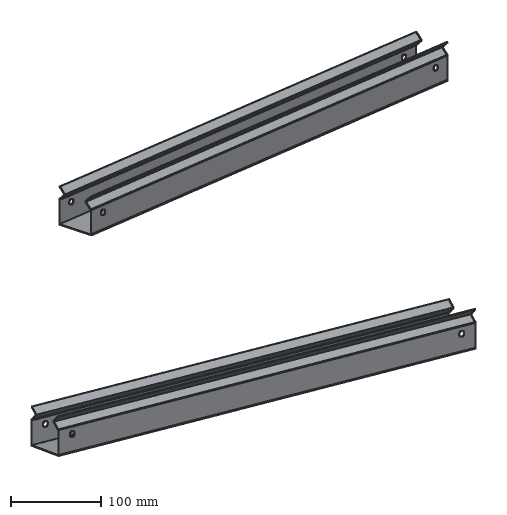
import cadquery as cq
import math

LENGTH = 600.0
WIDTH = 47.74
HEIGHT = 46.25

SHEET = 1.0
WALL_HEIGHT = 31.0

LEG_ANGLE = 45.0
THROAT_WIDTH = 29.7
TIP_SPAN = 45.2
THROAT_RADIUS = 1.0

HOLE_DIAMETER = 7.0
HOLE_END_DISTANCE = 20.0
HOLE_HEIGHT = 21.4

half_width = WIDTH / 2
leg_angle = math.radians(LEG_ANGLE)
slope = math.tan(leg_angle)

throat_setback = THROAT_RADIUS * (1 / math.sin(leg_angle) - 1)
throat_inner_x = THROAT_WIDTH / 2 - throat_setback
throat_outer_x = throat_inner_x + SHEET / math.sin(leg_angle)
tip_inner_x = TIP_SPAN / 2
throat_height = HEIGHT - (tip_inner_x - throat_inner_x) * slope

tip_outer_x = tip_inner_x + SHEET * math.sin(leg_angle)
tip_outer_height = HEIGHT - SHEET * math.cos(leg_angle)

leg_foot_x = throat_outer_x + (throat_height - WALL_HEIGHT) / slope
wall_inner_x = half_width - SHEET
wall_inner_height = throat_height - (wall_inner_x - throat_inner_x) * slope


def side_points(side):
    """Corners of one side of the section, from the bottom outside to the top of the floor."""
    points = [
        (half_width, 0),
        (half_width, WALL_HEIGHT),
        (leg_foot_x, WALL_HEIGHT),
        (throat_outer_x, throat_height),
        (tip_outer_x, tip_outer_height),
        (tip_inner_x, HEIGHT),
        (throat_inner_x, throat_height),
        (wall_inner_x, wall_inner_height),
        (wall_inner_x, SHEET),
    ]
    return [(side * x, z) for x, z in points]


def folded_channel():
    outline = side_points(1) + side_points(-1)[::-1]
    body = cq.Workplane("XZ").polyline(outline).close().extrude(LENGTH / 2, both=True)
    for side in (-1, 1):
        throat_edge = cq.selectors.NearestToPointSelector((side * throat_inner_x, 0, throat_height))
        body = body.edges("|Y").edges(throat_edge).fillet(THROAT_RADIUS)
    return body


def side_holes():
    """Cutting cylinders through both walls, one near each end of the channel."""
    hole_y = LENGTH / 2 - HOLE_END_DISTANCE
    return (
        cq.Workplane("YZ")
        .pushPoints([(-hole_y, HOLE_HEIGHT), (hole_y, HOLE_HEIGHT)])
        .circle(HOLE_DIAMETER / 2)
        .extrude(WIDTH, both=True)
    )


result = folded_channel().cut(side_holes())